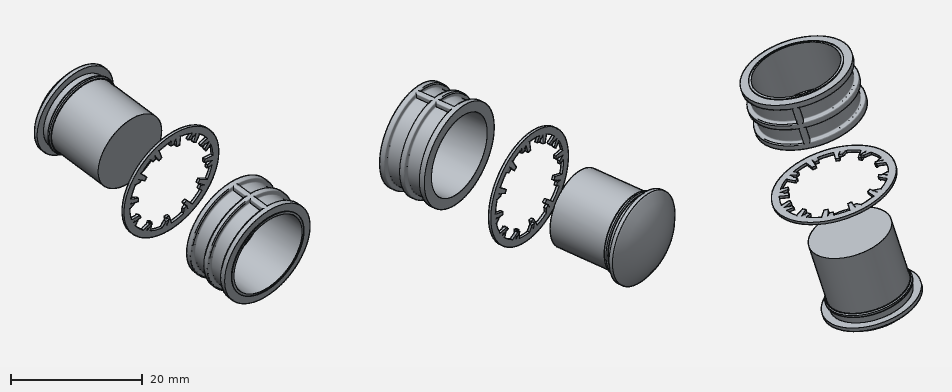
import cadquery as cq
import math


stem_radius = 6.6
stem_end_x = 15.75
head_radius = 7.9
head_back_x = 3.55
dome_height = 2.7
head_chamfer = 0.2
bead_radius = 6.95
bead_start_x = 4.65
bead_width = 0.7
bead_chamfer = 0.2

ring_outer_radius = 9.85
ring_inner_radius = 8.6
ring_thickness = 0.45
ring_middle_x = 24.75
tooth_count = 12
first_tooth_angle = -6.4
tooth_tip_radius = 7.2
tooth_root_width = 1.95
tooth_tip_width = 1.3
tooth_tip_bend = 0.33
tooth_root_depth = 0.45

collar_start_x = 37.9
collar_end_x = 46.4
collar_radius = 8.9
bore_radius = 7.1
groove_floor_radius = 8.1
rib_width = 1.02
rib_count = 3
bar_width = 1.0
bar_angle = 2.7
groove_rounding = 0.2
spigot_radius = 7.5
spigot_end_x = 46.55


def cylinder_along_x(radius, start_x, end_x):
    """Solid cylinder on the X axis."""
    return cq.Workplane("YZ", origin=(start_x, 0, 0)).circle(radius).extrude(end_x - start_x)


def make_plug():
    """Stem with a bead behind a domed head, turned about the X axis."""
    dome_edge_radius = head_radius - head_chamfer
    sphere_radius = (dome_height**2 + dome_edge_radius**2) / (2 * dome_height)
    half_angle = math.asin(dome_edge_radius / sphere_radius) / 2
    dome_middle = (sphere_radius * (1 - math.cos(half_angle)), sphere_radius * math.sin(half_angle))
    bead_end_x = bead_start_x + bead_width
    profile = (
        cq.Workplane("XY")
        .moveTo(0, 0)
        .threePointArc(dome_middle, (dome_height, dome_edge_radius))
        .lineTo(dome_height + head_chamfer, head_radius)
        .lineTo(head_back_x, head_radius)
        .lineTo(head_back_x, stem_radius)
        .lineTo(bead_start_x, stem_radius)
        .lineTo(bead_start_x, bead_radius - bead_chamfer)
        .lineTo(bead_start_x + bead_chamfer, bead_radius)
        .lineTo(bead_end_x - bead_chamfer, bead_radius)
        .lineTo(bead_end_x, bead_radius - bead_chamfer)
        .lineTo(bead_end_x, stem_radius)
        .lineTo(stem_end_x, stem_radius)
        .lineTo(stem_end_x, 0)
        .close()
    )
    return profile.revolve(360, (0, 0, 0), (1, 0, 0))


def make_half_blade(root_radius, side):
    """Half of a tooth on the +Y (side 1) or -Y (side -1) flank, bent toward +X or -X at its tip."""
    return (
        cq.Workplane("XY", origin=(ring_middle_x, 0, root_radius))
        .center(0, side * tooth_root_width / 4)
        .rect(ring_thickness, tooth_root_width / 2)
        .workplane(offset=tooth_tip_radius - root_radius)
        .center(side * tooth_tip_bend, side * (tooth_tip_width - tooth_root_width) / 4)
        .rect(ring_thickness, tooth_tip_width / 2)
        .loft(ruled=True)
    )


def make_tooth():
    """Tapered tooth pointing inward from +Z, split in two halves that are bent apart."""
    root_radius = math.sqrt(ring_inner_radius**2 - (tooth_root_width / 2) ** 2)
    tooth = (
        cq.Workplane("XY", origin=(ring_middle_x, 0, root_radius))
        .rect(ring_thickness, tooth_root_width)
        .extrude(tooth_root_depth)
    )
    for side in (-1, 1):
        tooth = tooth.union(make_half_blade(root_radius, side))
    return tooth


def make_toothed_ring():
    """Thin flat ring with split, bent teeth on its inner edge."""
    start_x = ring_middle_x - ring_thickness / 2
    end_x = ring_middle_x + ring_thickness / 2
    ring = cylinder_along_x(ring_outer_radius, start_x, end_x)
    ring = ring.cut(cylinder_along_x(ring_inner_radius, start_x, end_x))
    tooth = make_tooth()
    for index in range(tooth_count):
        angle = first_tooth_angle + index * 360 / tooth_count
        ring = ring.union(tooth.rotate((0, 0, 0), (1, 0, 0), angle))
    return ring


def make_groove(start_x, end_x):
    """Annular groove, interrupted by the bars at +Z and -Z."""
    groove = cylinder_along_x(ring_outer_radius, start_x, end_x)
    groove = groove.cut(cylinder_along_x(groove_floor_radius, start_x, end_x))
    bar = cq.Workplane("XY").box(end_x - start_x, bar_width, 2 * ring_outer_radius)
    return groove.cut(bar.translate(((start_x + end_x) / 2, 0, 0)))


def make_collar():
    """Sleeve with rounded ribs around it and two opposite bars along it, turned slightly about X."""
    length = collar_end_x - collar_start_x
    groove_count = rib_count - 1
    groove_width = (length - rib_count * rib_width) / groove_count
    collar = cylinder_along_x(collar_radius, collar_start_x, collar_end_x)
    for index in range(groove_count):
        start_x = collar_start_x + rib_width + index * (rib_width + groove_width)
        collar = collar.cut(make_groove(start_x, start_x + groove_width))
    inside_ends = cq.selectors.BoxSelector(
        (collar_start_x + rib_width / 2, -collar_radius, -collar_radius),
        (collar_end_x - rib_width / 2, collar_radius, collar_radius),
    )
    rib_edges = collar.edges(inside_ends).edges("%CIRCLE")
    bar_edges = collar.edges("|X").edges(">Z or <Z")
    collar = rib_edges.add(bar_edges).fillet(groove_rounding)
    collar = collar.union(cylinder_along_x(spigot_radius, collar_end_x, spigot_end_x))
    collar = collar.cut(cylinder_along_x(bore_radius, collar_start_x, spigot_end_x))
    return collar.rotate((0, 0, 0), (1, 0, 0), -bar_angle)


plug = make_plug()
toothed_ring = make_toothed_ring()
collar = make_collar()

result = cq.Compound.makeCompound([plug.val(), toothed_ring.val(), collar.val()])